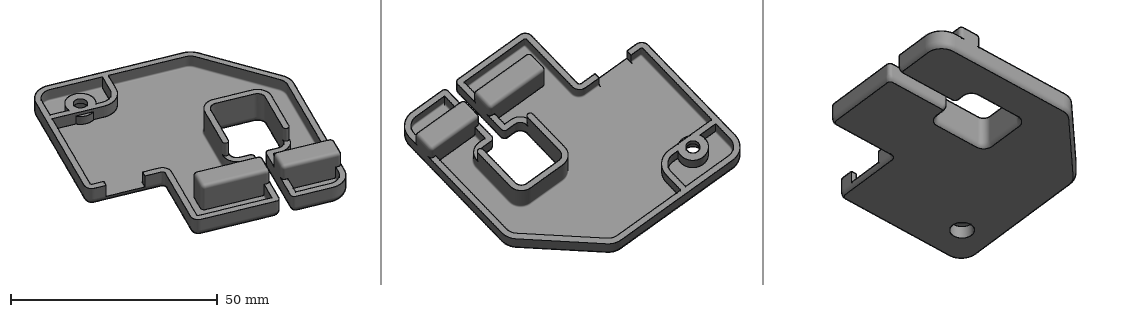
import cadquery as cq

LENGTH_X = 60.0
LENGTH_Y = 61.0
HEIGHT = 9.0

RIM_HEIGHT = 5.0
FLOOR_TOP = 1.5
WALL = 1.6
FLOOR_FILLET = 0.4
BOTTOM_ROUND = 2.0
BOTTOM_TRIM = 0.5

CUT_CORNER_X = 18.0
CUT_CORNER_Y = 19.05
NOTCH_X = 40.0
NOTCH_Y = 20.0
LARGE_ROUND = 5.0
MEDIUM_ROUND = 2.0
SMALL_ROUND = 1.0
NOTCH_ROUND = 0.75

WINDOW_LEFT = 25.0
WINDOW_RIGHT = 41.5
WINDOW_CENTRE_Y = 44.0
WINDOW_WIDTH_Y = 14.0
SLOT_WIDTH = 3.0
WINDOW_BOTTOM = WINDOW_CENTRE_Y - WINDOW_WIDTH_Y / 2
WINDOW_TOP = WINDOW_CENTRE_Y + WINDOW_WIDTH_Y / 2
SLOT_BOTTOM = WINDOW_CENTRE_Y - SLOT_WIDTH / 2
SLOT_TOP = WINDOW_CENTRE_Y + SLOT_WIDTH / 2

GAP_START_Y = 5.0
GAP_END_Y = 15.0

BAR_LEFT = 46.9
BAR_WIDTH = 6.2
LOWER_BAR_START_Y = 24.75
BAR_ROUND = 1.0

RIB = 1.5
POCKET_X = 12.0
POCKET_Y = 20.0
BOSS_X = 9.0
BOSS_Y = 10.0
BOSS_DIAMETER = 7.55
BOSS_OUTSIDE_TOP = 4.0
HOLE_DIAMETER = 3.4
COUNTERBORE_DIAMETER = 6.0
COUNTERBORE_DEPTH = 3.6

EDGE_REACH = 0.05


def box(x_start, x_end, y_start, y_end, z_start, z_end):
    """Block between two opposite corners."""
    size = (x_end - x_start, y_end - y_start, z_end - z_start)
    return cq.Workplane("XY").box(*size, centered=False).translate((x_start, y_start, z_start))


def rounded_prism(corners, height):
    """Upright prism over (x, y, radius) corners, each vertical edge rounded with its own radius."""
    prism = cq.Workplane("XY").polyline([(x, y) for x, y, _ in corners]).close().extrude(height)
    for x, y, radius in corners:
        around_corner = cq.selectors.BoxSelector(
            (x - EDGE_REACH, y - EDGE_REACH, 0), (x + EDGE_REACH, y + EDGE_REACH, height)
        )
        prism = prism.edges("|Z").edges(around_corner).fillet(radius)
    return prism


def tray_blank():
    """Solid block with the outline of the tray and its slotted window, tall enough to be trimmed."""
    return rounded_prism(
        [
            (0, 0, LARGE_ROUND),
            (NOTCH_X, 0, MEDIUM_ROUND),
            (NOTCH_X, NOTCH_Y, NOTCH_ROUND),
            (LENGTH_X, NOTCH_Y, MEDIUM_ROUND),
            (LENGTH_X, SLOT_BOTTOM, SMALL_ROUND),
            (WINDOW_RIGHT, SLOT_BOTTOM, SMALL_ROUND),
            (WINDOW_RIGHT, WINDOW_BOTTOM, MEDIUM_ROUND),
            (WINDOW_LEFT, WINDOW_BOTTOM, MEDIUM_ROUND),
            (WINDOW_LEFT, WINDOW_TOP, MEDIUM_ROUND),
            (WINDOW_RIGHT, WINDOW_TOP, MEDIUM_ROUND),
            (WINDOW_RIGHT, SLOT_TOP, SMALL_ROUND),
            (LENGTH_X, SLOT_TOP, SMALL_ROUND),
            (LENGTH_X, LENGTH_Y, LARGE_ROUND),
            (CUT_CORNER_X, LENGTH_Y, LARGE_ROUND),
            (0, LENGTH_Y - CUT_CORNER_Y, LARGE_ROUND),
        ],
        RIM_HEIGHT + BOTTOM_TRIM,
    )


def tray():
    """Open tray: rounded underneath, hollow above the floor, with a gap in its rim."""
    blank = tray_blank()
    rounded = blank.faces("<Z").edges().fillet(BOTTOM_ROUND).translate((0, 0, -BOTTOM_TRIM))
    trimmed = rounded.intersect(box(0, LENGTH_X, 0, LENGTH_Y, 0, RIM_HEIGHT))

    inner_outline = blank.faces("<Z").wires().val().offset2D(-WALL)[0]
    cavity = cq.Workplane("XY").add(inner_outline).toPending().extrude(RIM_HEIGHT)
    cavity = cavity.faces("<Z").edges().fillet(FLOOR_FILLET).translate((0, 0, FLOOR_TOP))

    gap_start_x = NOTCH_X - WALL - FLOOR_FILLET
    gap = box(gap_start_x, NOTCH_X, GAP_START_Y, GAP_END_Y, FLOOR_TOP, RIM_HEIGHT)
    return trimmed.cut(cavity).cut(gap)


def window_prism(margin, height):
    """Upright prism over the window outline, grown outwards by a margin."""
    left = WINDOW_LEFT - margin
    right = WINDOW_RIGHT + margin
    bottom = WINDOW_BOTTOM - margin
    top = WINDOW_TOP + margin
    radius = MEDIUM_ROUND + margin
    corners = [(left, bottom), (right, bottom), (right, top), (left, top)]
    return rounded_prism([(x, y, radius) for x, y in corners], height)


def window_wall():
    """High wall around three sides of the window, with half-round ends."""
    height = HEIGHT - FLOOR_TOP
    end_round = WALL / 2
    end_x = WINDOW_RIGHT - MEDIUM_ROUND - end_round / 2
    ring = window_prism(WALL, height).cut(window_prism(0, height))
    three_sides = ring.intersect(box(0, end_x, 0, LENGTH_Y, 0, height))
    ends = (
        cq.Workplane("XY")
        .pushPoints([(end_x, WINDOW_BOTTOM - end_round), (end_x, WINDOW_TOP + end_round)])
        .circle(end_round)
        .extrude(height)
    )
    return three_sides.union(ends).translate((0, 0, FLOOR_TOP))


def bar(y_start, y_end):
    """Raised bar along Y standing on the floor, rounded on all edges but the lowest."""
    block = box(BAR_LEFT, BAR_LEFT + BAR_WIDTH, y_start, y_end, FLOOR_TOP, HEIGHT)
    return block.edges("|Z or >Z").fillet(BAR_ROUND)


def pocket_block(x_end, y_end, radius):
    """Block from the middle of the outer walls to a rounded inner corner."""
    block = box(WALL / 2, x_end, WALL / 2, y_end, FLOOR_TOP, RIM_HEIGHT)
    return block.edges("|Z and >X and >Y").fillet(radius)


def pocket_rib():
    """L-shaped rib that closes off the corner pocket."""
    outer = pocket_block(POCKET_X, POCKET_Y, LARGE_ROUND)
    inner = pocket_block(POCKET_X - RIB, POCKET_Y - RIB, LARGE_ROUND - RIB)
    return outer.cut(inner)


def boss_cylinder(diameter, z_start, z_end):
    """Upright cylinder on the axis of the boss."""
    return (
        cq.Workplane("XY", origin=(BOSS_X, BOSS_Y, z_start))
        .circle(diameter / 2)
        .extrude(z_end - z_start)
    )


def boss():
    """Screw boss, lower where it bulges out of the pocket."""
    cylinder = boss_cylinder(BOSS_DIAMETER, FLOOR_TOP, RIM_HEIGHT)
    outside = box(POCKET_X, LENGTH_X, 0, POCKET_Y, BOSS_OUTSIDE_TOP, RIM_HEIGHT)
    return cylinder.cut(outside)


result = (
    tray()
    .union(window_wall())
    .union(bar(LOWER_BAR_START_Y, SLOT_BOTTOM))
    .union(bar(SLOT_TOP, LENGTH_Y))
    .union(pocket_rib())
    .union(boss())
    .cut(boss_cylinder(HOLE_DIAMETER, 0, RIM_HEIGHT))
    .cut(boss_cylinder(COUNTERBORE_DIAMETER, 0, COUNTERBORE_DEPTH))
)